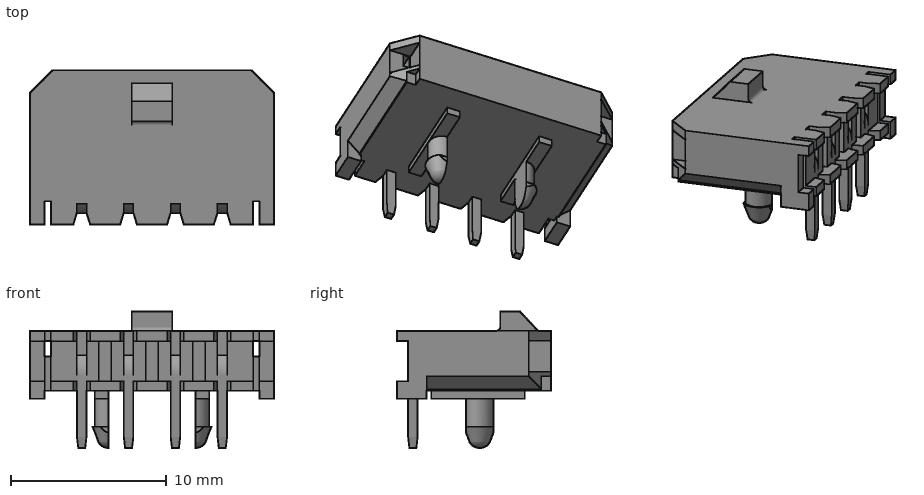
import cadquery as cq
import math

width = 15.65
depth = 9.9
body_top = 4.37
body_bottom = 0.52
corner_chamfer = 1.44
half_width = width / 2
corner_x = half_width - corner_chamfer
corner_y = depth - corner_chamfer

recess_depth = 0.72
recess_bottom = 1.15
recess_top = 3.7

leg_width = 0.94
leg_depth = 1.91
slot_width = 0.4
slot_depth = 1.49
channel_bottom = 2.72
slot_x = half_width - leg_width - slot_width / 2

bevel_top = 1.44
bevel_size = 0.81
notch_bottom = 1.75
notch_top = 3.74

pin_count = 4
pin_pitch = 3.0
pin_size = 0.63
pin_tip_size = 0.45
pin_bottom = -3.16
pin_tip_length = 0.72
bend_start = 1.53
bend_height = 1.25
flange_gap_width = 1.06
pin_back = recess_depth + pin_size
pin_xs = [(i - (pin_count - 1) / 2) * pin_pitch for i in range(pin_count)]

groove_width = 0.8
groove_depth = 0.44

peg_flat_x = 2.79
peg_y = 5.32
peg_radius = 0.89
barb_radius = 1.03
barb_top = -1.78
barb_tip_radius = 0.65
barb_bottom = -2.77
peg_bottom = pin_bottom
rib_front = 2.2
rib_back = 8.22

latch_width = 2.63
latch_top = 5.6
latch_front = 6.64
latch_crest = 7.9
latch_back = 9.06
latch_fillet = 0.25


def block(x_range, y_range, z_range):
    """Axis-aligned box between the given limits."""
    (x0, x1), (y0, y1), (z0, z1) = x_range, y_range, z_range
    return cq.Workplane("XY").box(x1 - x0, y1 - y0, z1 - z0, centered=False).translate((x0, y0, z0))


def centred_block(x_centre, x_size, y_range, z_range):
    """Axis-aligned box centred on an X position."""
    return block((x_centre - x_size / 2, x_centre + x_size / 2), y_range, z_range)


def both_sides(shape):
    """The shape together with its mirror image across the YZ plane."""
    return shape.union(shape.mirror("YZ"))


def make_shell():
    """Block with chamfered rear corners, bevelled lower sides and front legs."""
    shell = (
        block((-half_width, half_width), (0, depth), (body_bottom, body_top))
        .edges("|Z and >Y")
        .chamfer(corner_chamfer)
    )
    bevel_inner_x = half_width - bevel_size
    bevel = (
        cq.Workplane("XZ", origin=(0, leg_depth, 0))
        .moveTo(half_width, bevel_top)
        .lineTo(bevel_inner_x, bevel_top - bevel_size)
        .lineTo(bevel_inner_x, body_bottom)
        .lineTo(half_width, body_bottom)
        .close()
        .extrude(-(depth - leg_depth))
    )
    leg = block((half_width - leg_width, half_width), (0, leg_depth), (0, body_top))
    return shell.cut(both_sides(bevel)).union(both_sides(leg))


def make_corner_notches():
    """Square cuts that open the rear corners at mid height and at the bottom."""
    upper = block((corner_x, half_width), (corner_y, depth), (notch_bottom, notch_top))
    lower_front = corner_y + bevel_size
    lower = block((corner_x, half_width), (lower_front, depth), (body_bottom, bevel_top))
    return both_sides(upper.union(lower))


def make_side_slots():
    """Slots inside the legs, continued rearward by channels to the corner notches."""
    slot = centred_block(slot_x, slot_width, (0, slot_depth), (0, body_top))
    channel = centred_block(slot_x, slot_width, (slot_depth, corner_y), (channel_bottom, recess_top))
    return both_sides(slot.union(channel))


def make_front_recess():
    """Recess between the flanges, with relief grooves between the pins."""
    recess_z = (recess_bottom, recess_top)
    recess = block((-half_width, half_width), (0, recess_depth), recess_z)
    for left_x, right_x in zip(pin_xs, pin_xs[1:]):
        groove_x = (left_x + right_x) / 2
        groove_y = (recess_depth, recess_depth + groove_depth)
        recess = recess.union(centred_block(groove_x, groove_width, groove_y, recess_z))
    return recess


def make_pin_opening(x):
    """Tapered gap in both flanges, and the slot above the rounded pin bend."""
    gap = (
        cq.Workplane("XY", origin=(x, 0, body_bottom))
        .moveTo(-flange_gap_width / 2, 0)
        .lineTo(flange_gap_width / 2, 0)
        .lineTo(pin_size / 2, recess_depth)
        .lineTo(-pin_size / 2, recess_depth)
        .close()
        .extrude(body_top - body_bottom)
    )
    bend_radius = (pin_size**2 + bend_height**2) / (2 * pin_size)
    half_angle = math.asin(bend_height / bend_radius) / 2
    bend_middle = (
        recess_depth + bend_radius * (1 - math.cos(half_angle)),
        bend_start + bend_radius * math.sin(half_angle),
    )
    slot = (
        cq.Workplane("YZ", origin=(x - pin_size / 2, 0, 0))
        .moveTo(recess_depth, bend_start)
        .threePointArc(bend_middle, (pin_back, bend_start + bend_height))
        .lineTo(pin_back, body_top)
        .lineTo(recess_depth, body_top)
        .close()
        .extrude(pin_size)
    )
    return gap.union(slot)


def make_pin(x):
    """Square pin leg with a tapered tip, rooted in the body."""
    tip_top = pin_bottom + pin_tip_length
    leg = centred_block(x, pin_size, (recess_depth, pin_back), (tip_top, recess_bottom))
    tip = (
        cq.Workplane("XY", origin=(x, recess_depth + pin_size / 2, pin_bottom))
        .rect(pin_tip_size, pin_tip_size)
        .workplane(offset=pin_tip_length)
        .rect(pin_size, pin_size)
        .loft()
    )
    return leg.union(tip)


def make_peg_and_rib():
    """Right-hand standoff rib and its half-round, barbed peg with a domed end."""
    rib_x = (peg_flat_x, peg_flat_x + peg_radius)
    rib = block(rib_x, (rib_front, rib_back), (0, body_bottom))
    dome_height = barb_bottom - peg_bottom
    dome_radius = (barb_tip_radius**2 + dome_height**2) / (2 * dome_height)
    half_angle = math.asin(barb_tip_radius / dome_radius) / 2
    dome_middle = (
        dome_radius * math.sin(half_angle),
        peg_bottom + dome_radius * (1 - math.cos(half_angle)),
    )
    peg = (
        cq.Workplane("XZ")
        .moveTo(0, 0)
        .lineTo(peg_radius, 0)
        .lineTo(peg_radius, barb_top)
        .lineTo(barb_radius, barb_top)
        .lineTo(barb_tip_radius, barb_bottom)
        .threePointArc(dome_middle, (0, peg_bottom))
        .close()
        .revolve(360, (0, 0, 0), (0, 1, 0))
    )
    kept_half = block((0, barb_radius), (-peg_radius, peg_radius), (peg_bottom, 0))
    return rib.union(peg.intersect(kept_half).translate((peg_flat_x, peg_y, 0)))


def make_latch():
    """Latch ramp, sloped at the rear and filleted into the top at the front."""
    fillet_centre_y = latch_front - latch_fillet
    fillet_centre_z = body_top + latch_fillet
    fillet_middle = (
        fillet_centre_y + latch_fillet * math.sqrt(0.5),
        fillet_centre_z - latch_fillet * math.sqrt(0.5),
    )
    return (
        cq.Workplane("YZ", origin=(-latch_width / 2, 0, 0))
        .moveTo(latch_back, body_top)
        .lineTo(latch_crest, latch_top)
        .lineTo(latch_front, latch_top)
        .lineTo(latch_front, fillet_centre_z)
        .threePointArc(fillet_middle, (fillet_centre_y, body_top))
        .close()
        .extrude(latch_width)
    )


result = make_shell()
result = result.cut(make_corner_notches())
result = result.cut(make_side_slots())
result = result.cut(make_front_recess())
for pin_x in pin_xs:
    result = result.cut(make_pin_opening(pin_x))
    result = result.union(make_pin(pin_x))
result = result.union(both_sides(make_peg_and_rib()))
result = result.union(make_latch())